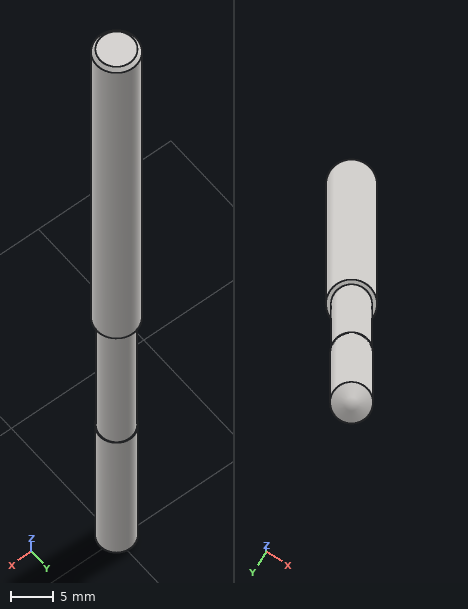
import cadquery as cq
import math

total_length = 105.9

head_diameter = 5.1
head_length = 24.7
point_angle = 140.0

shank_diameter = 6.0
shank_length = 57.9
shank_chamfer = 0.5
neck_diameter = 4.9

head_radius = head_diameter / 2
point_height = head_radius / math.tan(math.radians(point_angle / 2))
shank_bottom = total_length - shank_length
neck_length = shank_bottom - head_length


def make_cutting_head():
    """Cylinder with a conical point whose tip is at the origin."""
    half_profile = (
        cq.Workplane("XZ")
        .moveTo(0, 0)
        .lineTo(head_radius, point_height)
        .lineTo(head_radius, head_length)
        .lineTo(0, head_length)
        .close()
    )
    return half_profile.revolve(360, (0, 0, 0), (0, 1, 0))


def make_holder():
    """Neck resting on the cutting head, widening to a shank with a chamfered end."""
    neck = (
        cq.Workplane("XY")
        .workplane(offset=head_length)
        .circle(neck_diameter / 2)
        .extrude(neck_length)
    )
    shank = (
        cq.Workplane("XY")
        .workplane(offset=shank_bottom)
        .circle(shank_diameter / 2)
        .extrude(shank_length)
        .faces(">Z")
        .chamfer(shank_chamfer)
    )
    return neck.union(shank)


cutting_head = make_cutting_head()
holder = make_holder()

result = cq.Compound.makeCompound([cutting_head.val(), holder.val()])